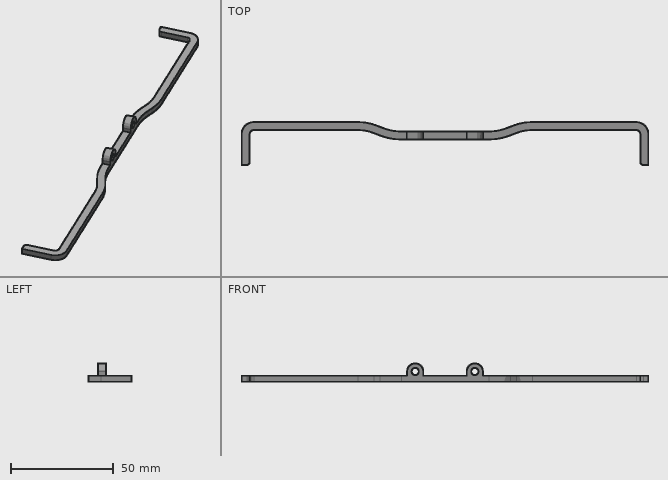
import math

import cadquery as cq

overall_length = 198.0
overall_depth = 21.0
bar_width = 4.0
bar_height = 3.0

corner_inner_radius = 2.0
leg_tip_radius = 1.5

middle_half_length = 21.2
joggle_angle = math.radians(21.5)
joggle_straight = 3.05
middle_bend_radius = 27.0
arm_bend_radius = 23.0

ear_spacing = 29.0
ear_radius = 4.0
ear_hole_diameter = 3.4
ear_top = 9.0

joggle_offset = (
    (middle_bend_radius + arm_bend_radius) * (1 - math.cos(joggle_angle))
    + joggle_straight * math.sin(joggle_angle)
)
leg_x = overall_length / 2 - bar_width / 2
leg_tip_y = joggle_offset + bar_width / 2 - overall_depth
corner_radius = corner_inner_radius + bar_width / 2


def bend_chord(radius):
    """X and Y travel of a joggle bend that starts or ends parallel to X."""
    return radius * math.sin(joggle_angle), radius * (1 - math.cos(joggle_angle))


def half_centreline():
    """Centreline of the +X half, from the middle of the bar to the leg tip."""
    middle_dx, middle_dy = bend_chord(middle_bend_radius)
    arm_dx, arm_dy = bend_chord(arm_bend_radius)
    slope_start = (middle_half_length + middle_dx, middle_dy)
    slope_end = (
        slope_start[0] + joggle_straight * math.cos(joggle_angle),
        slope_start[1] + joggle_straight * math.sin(joggle_angle),
    )
    return (
        cq.Workplane("XY")
        .moveTo(0, 0)
        .lineTo(middle_half_length, 0)
        .tangentArcPoint(slope_start, relative=False)
        .lineTo(*slope_end)
        .tangentArcPoint((slope_end[0] + arm_dx, slope_end[1] + arm_dy), relative=False)
        .lineTo(leg_x - corner_radius, joggle_offset)
        .tangentArcPoint((leg_x, joggle_offset - corner_radius), relative=False)
        .lineTo(leg_x, leg_tip_y)
    )


def half_bar():
    """The +X half of the bar, with the inner corner of the leg tip rounded."""
    half = (
        cq.Workplane("YZ")
        .center(0, bar_height / 2)
        .rect(bar_width, bar_height)
        .sweep(half_centreline())
    )
    tip_inner_corner = (leg_x - bar_width / 2, leg_tip_y, bar_height / 2)
    return half.edges(cq.selectors.NearestToPointSelector(tip_inner_corner)).fillet(leg_tip_radius)


def ear(center_x):
    """Upright round-topped lug with a cross hole, flush with both bar sides."""
    hole_z = ear_top - ear_radius
    lug = (
        cq.Workplane("XZ", origin=(center_x, bar_width / 2, 0))
        .moveTo(-ear_radius, 0)
        .lineTo(ear_radius, 0)
        .lineTo(ear_radius, hole_z)
        .threePointArc((0, ear_top), (-ear_radius, hole_z))
        .close()
        .extrude(bar_width)
    )
    hole = (
        cq.Workplane("XZ", origin=(center_x, bar_width / 2, hole_z))
        .circle(ear_hole_diameter / 2)
        .extrude(bar_width)
    )
    return lug.cut(hole)


right_half = half_bar()
bar = right_half.union(right_half.mirror("YZ"))
for side in (-1, 1):
    bar = bar.union(ear(side * ear_spacing / 2))
result = bar.clean()